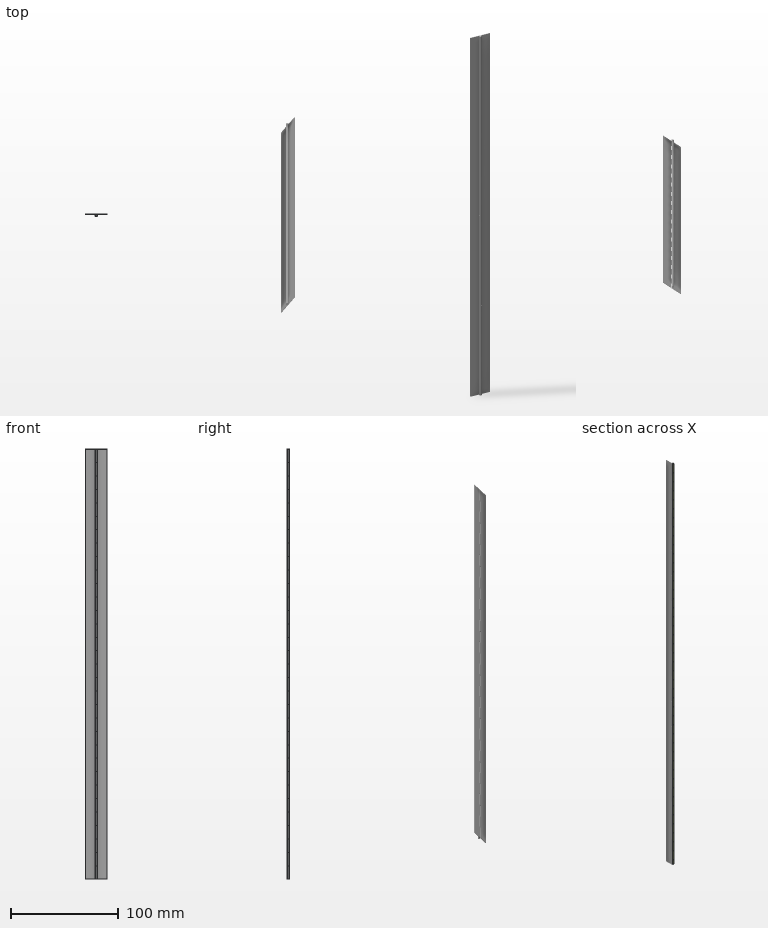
import cadquery as cq

length = 400.0
open_width = 20.0
barrel_diameter = 2.5
leaf_thickness = 0.5
knuckle_count = 32

pin_diameter = barrel_diameter - 2 * leaf_thickness
plate_width = open_width / 2
plate_rear = barrel_diameter / 2
knuckle_length = length / knuckle_count

LEFT = -1
RIGHT = 1


def make_cylinder(diameter, base_z, height):
    """Solid cylinder on the barrel axis."""
    return cq.Workplane("XY", origin=(0, 0, base_z)).circle(diameter / 2).extrude(height)


def make_plate(side):
    """Flat plate from the barrel axis out to the free edge on one side."""
    center = (side * plate_width / 2, plate_rear - leaf_thickness / 2, length / 2)
    return cq.Workplane("XY", origin=center).box(plate_width, leaf_thickness, length)


def make_notch(base_z):
    """Block that clears a plate for one knuckle of the other leaf."""
    profile = cq.Workplane("XY", origin=(0, 0, base_z)).rect(barrel_diameter, barrel_diameter)
    return profile.extrude(knuckle_length)


def make_leaf(side, first_knuckle):
    """Plate with every second knuckle, counted from the bottom, bored for the pin."""
    leaf = make_plate(side)
    for index in range(knuckle_count):
        base_z = index * knuckle_length
        if index % 2 == first_knuckle:
            leaf = leaf.union(make_cylinder(barrel_diameter, base_z, knuckle_length))
        else:
            leaf = leaf.cut(make_notch(base_z))
    return leaf.cut(make_cylinder(pin_diameter, 0, length)).solids()


left_leaf = make_leaf(LEFT, first_knuckle=1)
right_leaf = make_leaf(RIGHT, first_knuckle=0)
pin = make_cylinder(pin_diameter, 0, length)

result = cq.Compound.makeCompound([left_leaf.val(), right_leaf.val(), pin.val()])